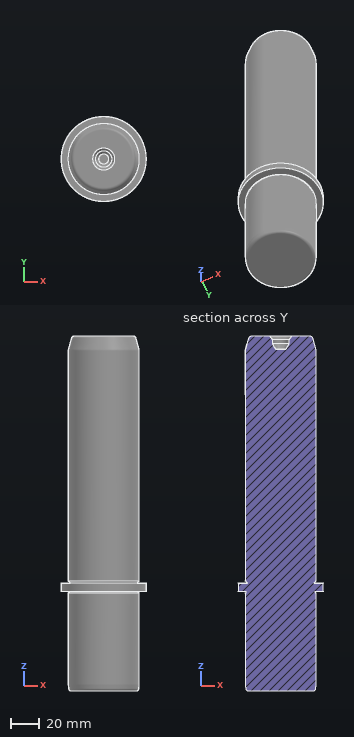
import cadquery as cq
import math

length = 250.0
shaft_radius = 25.0

collar_radius = 30.0
collar_bottom = 70.0
collar_height = 6.0
collar_top = collar_bottom + collar_height
upper_bevel = 1.5
lower_bevel = 0.8

taper_height = 10.0
taper_angle = math.radians(15)
taper_top_radius = shaft_radius - taper_height * math.tan(taper_angle)
taper_top_rounding = 2.5
taper_base_rounding = 2.5

lead_height = 4.5
lead_reduction = 0.5
lead_rounding = 2.0

hole_rim_radius = 7.8
hole_bore_radius = 5.8
hole_floor_radius = 3.5
rim_cone_depth = 2.8
bore_depth = 2.8
floor_cone_angle = math.radians(30)
floor_cone_depth = (hole_bore_radius - hole_floor_radius) / math.tan(floor_cone_angle)
bore_top = length - rim_cone_depth
bore_bottom = bore_top - bore_depth
hole_floor = bore_bottom - floor_cone_depth


def revolve_profile(points):
    """Revolve an outline of (radius, height) points around the Z axis."""
    return cq.Workplane("XZ").polyline(points).close().revolve(360, (0, 0, 0), (0, 1, 0))


def round_edge_at(body, height, rounding):
    """Round the single circular edge lying at the given height."""
    tolerance = 0.02
    band = cq.selectors.BoxSelector(
        (-collar_radius, -collar_radius, height - tolerance),
        (collar_radius, collar_radius, height + tolerance),
        boundingbox=True,
    )
    return body.edges(band).fillet(rounding)


body = revolve_profile([
    (0, 0),
    (shaft_radius - lead_reduction, 0),
    (shaft_radius, lead_height),
    (shaft_radius, collar_bottom - lower_bevel),
    (shaft_radius - lower_bevel, collar_bottom),
    (collar_radius, collar_bottom),
    (collar_radius, collar_top),
    (shaft_radius - upper_bevel, collar_top),
    (shaft_radius, collar_top + upper_bevel),
    (shaft_radius, length - taper_height),
    (taper_top_radius, length),
    (0, length),
])
body = round_edge_at(body, length, taper_top_rounding)
body = round_edge_at(body, length - taper_height, taper_base_rounding)
body = round_edge_at(body, 0, lead_rounding)

centre_hole = revolve_profile([
    (0, length),
    (hole_rim_radius, length),
    (hole_bore_radius, bore_top),
    (hole_bore_radius, bore_bottom),
    (hole_floor_radius, hole_floor),
    (0, hole_floor),
])

result = body.cut(centre_hole)